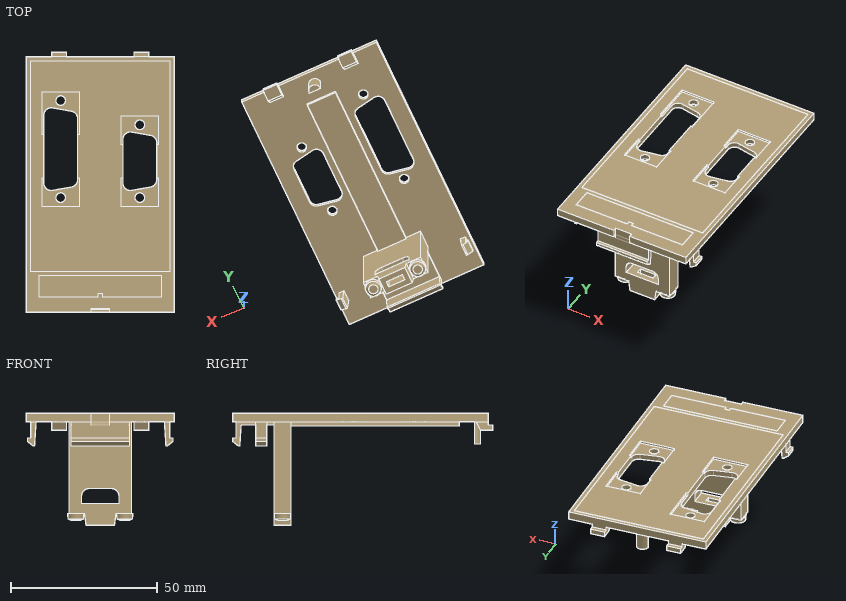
import cadquery as cq
import math


total_length = 89.0
catch_reach = 1.5
plate_width = 50.7
plate_length = total_length - catch_reach
plate_thickness = 2.9
total_height = 38.4

label_depth = 0.1
border = 1.5
panel_width = plate_width - 2 * border
panel_front = 14.1
panel_back = plate_length - border
strip_width = 42.0
strip_front = 5.25
strip_back = panel_front - border
nick_width = 1.7
nick_length = 1.25

notch_width = 6.2
notch_depth = 1.3

connector_offset = 13.5
lower_screw_y = 39.25
long_screw_spacing = 33.2
short_screw_spacing = 24.9
screw_hole_diameter = 3.2
screw_to_opening = 3.0
opening_width = 11.5
opening_taper = 10.0
opening_corner_radius = 2.5
flange_width = 12.7
flange_margin = 3.0
flange_depth = 0.9
flange_length = 9.7
long_flange_length = 14.7

snap_length = 8.3
snap_root_thickness = 2.0
snap_tip_thickness = 0.5
snap_outer = 1.1
snap_inner = snap_outer + snap_root_thickness
snap_tip_outer = 2.0
snap_tip_inner = snap_tip_outer + snap_tip_thickness
barb_top = 5.5
barb_height = 1.25
front_snap_width = 19.9
side_snap_width = 3.9
side_snap_y = 9.8
side_snap_inset = 0.45

front_pad_thickness = 1.2
rib_thickness = 1.5
rib_width = 10.7
rib_back = 77.5

leg_width = 21.5
leg_depth = 6.0
leg_front = 14.1
leg_bottom = 34.35
leg_middle = leg_front + leg_depth / 2
tongue_top_width = 10.9
tongue_tip_width = 9.8
window_width = 12.7
window_bottom = 30.8
window_height = 5.0
window_corner_radius = 2.5
floor_slot_width = 6.05
floor_slot_depth = 2.0
foot_offset = 8.4
foot_top_radius = 2.85
foot_rim_radius = 2.7
foot_tip_radius = 1.6
foot_rim_height = 1.8
foot_height = 2.3

catch_offset = 14.1
catch_width = 5.2
catch_top = 4.0
catch_bottom = 5.9
catch_front_top = 83.3
catch_front_bottom = 84.8
peg_radius = 2.1
peg_front = 82.7
peg_bottom = 10.6


def block(width, front, back, top, bottom, center_x=0.0):
    """Box centred on center_x, between two Y places and two depths below the top face."""
    return (
        cq.Workplane("XY", origin=(center_x, (front + back) / 2, -bottom))
        .box(width, back - front, bottom - top, centered=(True, True, False))
    )


def side_profile(points, width, center_x=0.0):
    """Extrude a (Y, Z) outline along X, centred on center_x."""
    start = center_x - width / 2
    return cq.Workplane("YZ", origin=(start, 0, 0)).polyline(points).close().extrude(width)


def make_plate():
    plate = block(plate_width, 0, plate_length, 0, plate_thickness)
    plate = plate.cut(block(panel_width, panel_front, panel_back, 0, label_depth))
    strip = block(strip_width, strip_front, strip_back, 0, label_depth)
    strip = strip.cut(block(nick_width, strip_front, strip_front + nick_length, 0, label_depth))
    return plate.cut(strip)


def make_connector_cut(center_x, screw_spacing, upper_flange_length):
    upper_screw_y = lower_screw_y + screw_spacing
    center_y = lower_screw_y + screw_spacing / 2
    half_width = opening_width / 2
    half_height = screw_spacing / 2 - screw_to_opening
    slant = half_width * math.tan(math.radians(opening_taper))
    opening = (
        cq.Workplane("XY", origin=(center_x, center_y, -plate_thickness))
        .polyline(
            [
                (-half_width, half_height + slant),
                (half_width, half_height - slant),
                (half_width, -half_height + slant),
                (-half_width, -half_height - slant),
            ]
        )
        .close()
        .extrude(plate_thickness)
        .edges("|Z")
        .fillet(opening_corner_radius)
    )
    holes = (
        cq.Workplane("XY", origin=(center_x, 0, -plate_thickness))
        .pushPoints([(0, lower_screw_y), (0, upper_screw_y)])
        .circle(screw_hole_diameter / 2)
        .extrude(plate_thickness)
    )
    flange_front = lower_screw_y - flange_margin
    flange_back = upper_screw_y + flange_margin
    lower = block(flange_width, flange_front, flange_front + flange_length, 0, flange_depth, center_x)
    upper = block(flange_width, flange_back - upper_flange_length, flange_back, 0, flange_depth, center_x)
    return opening.union(holes).union(lower).union(upper)


def make_snap(width):
    """Snap hook along X with its barb pointing to -Y and the barb's point at Y = 0."""
    tip = -plate_thickness - snap_length
    barb_upper = -plate_thickness - barb_top
    outline = [
        (snap_inner, -plate_thickness),
        (snap_outer, -plate_thickness),
        (snap_outer, barb_upper),
        (0, barb_upper),
        (0, barb_upper - barb_height),
        (snap_tip_outer, tip),
        (snap_tip_inner, tip),
    ]
    return side_profile(outline, width)


def make_snaps():
    left = (
        make_snap(side_snap_width)
        .rotate((0, 0, 0), (0, 0, 1), -90)
        .translate((side_snap_inset - plate_width / 2, side_snap_y, 0))
    )
    return make_snap(front_snap_width).union(left).union(left.mirror("YZ"))


def make_release_notch():
    """Notch through the plate that runs out in a ramp on the front snap hook."""
    ramp_bottom = -plate_thickness - front_pad_thickness
    outline = [
        (0, 0),
        (notch_depth, 0),
        (notch_depth, -plate_thickness),
        (snap_outer, ramp_bottom),
        (0, ramp_bottom),
    ]
    return side_profile(outline, notch_width)


def make_stiffeners():
    pad_bottom = plate_thickness + front_pad_thickness
    pad = block(front_snap_width, snap_outer, leg_front, plate_thickness, pad_bottom)
    rib_front = leg_front + leg_depth
    rib = block(rib_width, rib_front, rib_back, plate_thickness, plate_thickness + rib_thickness)
    return pad.union(rib)


def make_foot(center_x):
    """Round foot that tapers slightly to its rim and then closes in a flat cone."""
    return (
        cq.Workplane("XZ", origin=(center_x, leg_middle, -leg_bottom))
        .polyline(
            [
                (0, 0),
                (foot_top_radius, 0),
                (foot_rim_radius, -foot_rim_height),
                (foot_tip_radius, -foot_height),
                (0, -foot_height),
            ]
        )
        .close()
        .revolve(360, (0, 0, 0), (0, 1, 0))
    )


def make_leg():
    leg_back = leg_front + leg_depth
    leg = block(leg_width, leg_front, leg_back, plate_thickness, leg_bottom)
    tongue = (
        cq.Workplane("XZ", origin=(0, leg_back, 0))
        .polyline(
            [
                (-tongue_top_width / 2, -leg_bottom),
                (tongue_top_width / 2, -leg_bottom),
                (tongue_tip_width / 2, -total_height),
                (-tongue_tip_width / 2, -total_height),
            ]
        )
        .close()
        .extrude(leg_depth)
    )
    window = (
        block(window_width, leg_front, leg_back, window_bottom - window_height, window_bottom)
        .edges("|Y and >Z")
        .fillet(window_corner_radius)
    )
    floor_slot = block(
        floor_slot_width,
        leg_middle - floor_slot_depth / 2,
        leg_middle + floor_slot_depth / 2,
        window_bottom,
        total_height,
    )
    leg = leg.union(tongue).cut(window).cut(floor_slot)
    for side in (-1, 1):
        leg = leg.union(make_foot(side * foot_offset))
    return leg


def make_catch(center_x):
    outline = [
        (catch_front_top, -plate_thickness),
        (plate_length, -plate_thickness),
        (plate_length, -catch_top),
        (total_length, -catch_top),
        (total_length, -catch_bottom),
        (catch_front_bottom, -catch_bottom),
    ]
    return side_profile(outline, catch_width, center_x)


def make_peg():
    """Half-round peg with its flat side towards the leg."""
    return (
        cq.Workplane("XY", origin=(0, peg_front, -peg_bottom))
        .moveTo(peg_radius, 0)
        .threePointArc((0, peg_radius), (-peg_radius, 0))
        .close()
        .extrude(peg_bottom - plate_thickness)
    )


result = make_plate()
result = result.cut(make_connector_cut(-connector_offset, long_screw_spacing, long_flange_length))
result = result.cut(make_connector_cut(connector_offset, short_screw_spacing, flange_length))
result = result.union(make_stiffeners()).union(make_snaps()).cut(make_release_notch())
result = result.union(make_leg()).union(make_peg())
for side in (-1, 1):
    result = result.union(make_catch(side * catch_offset))